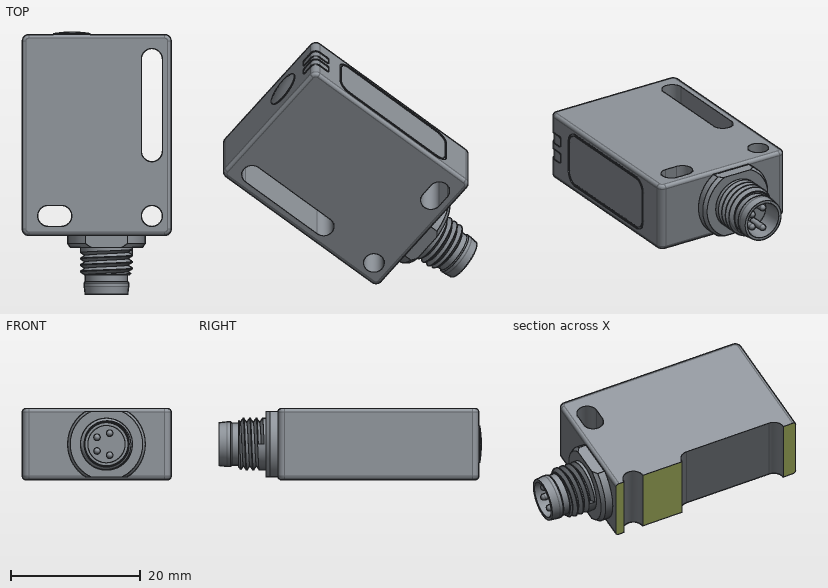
import cadquery as cq

width = 23.0
length = 31.02
height = 11.0
corner_radius = 1.0
edge_radius = 0.55
left = -width / 2

hole_diameter = 3.2
right_holes_x = 8.5
front_holes_y = 3.05
long_slot_length = 17.4
long_slot_y = 20.13
short_slot_length = 5.22
short_slot_x = -6.5

window_length = 21.15
window_height = 8.9
window_y = 15.45
window_corner_radius = 2.02
window_groove_width = 0.32
window_groove_depth = 0.2

indicator_reach = 2.88
indicator_height = 1.75
indicator_spacing = 2.8
indicator_corner_radius = 0.4
indicator_depth = 0.12

adjuster_diameter = 5.65
adjuster_x = -3.85
adjuster_height = 0.4
adjuster_rim_height = 0.15

connector_x = 1.5
collar_diameter = 12.0
collar_length = 1.82
collar_chamfer_length = 0.6
collar_chamfer_depth = 0.4
collar_across_flats = 10.12
thread_diameter = 8.0
thread_root_diameter = 6.72
thread_pitch = 1.0
thread_groove_start = 2.55
thread_groove_width = 0.9
thread_end = 6.08
thread_end_chamfer = 0.5
neck_diameter = 6.55
ring_diameter = 6.93
ring_ramp_start = 7.1
ring_start = 7.3
ring_end = 7.8
tip_diameter = 6.65
connector_length = 9.07
socket_diameter = 5.75
socket_depth = 3.65

pin_diameter = 1.0
pin_length = 3.25
pin_places = [(-1.45, 1.05), (0.5, 1.7)]


def rounded_block(inset):
    """Housing block with rounded upright edges, pulled in by an inset on each side."""
    block = cq.Workplane("XY").box(width - 2 * inset, length - 2 * inset, height)
    return block.translate((0, length / 2, 0)).edges("|Z").fillet(corner_radius)


def slot_cutter(x, y, slot_length, angle):
    slot = cq.Workplane("XY").slot2D(slot_length, hole_diameter, angle)
    return slot.extrude(height, both=True).translate((x, y, 0))


def window_plate(inset):
    plate = cq.Workplane("YZ").rect(window_length - 2 * inset, window_height - 2 * inset)
    plate = plate.extrude(window_groove_depth).edges("|X").fillet(window_corner_radius - inset)
    return plate.translate((left, window_y, 0))


def indicator_cutter(z):
    """Skin-deep pocket that runs along the left face, round the corner and along the back face."""
    tab_size = 2 * indicator_reach
    side_tab = cq.Workplane("YZ").rect(tab_size, indicator_height).extrude(corner_radius)
    side_tab = side_tab.edges("|X").fillet(indicator_corner_radius).translate((left, length, z))
    back_tab = cq.Workplane("XZ").rect(tab_size, indicator_height).extrude(corner_radius)
    back_tab = back_tab.edges("|Y").fillet(indicator_corner_radius).translate((left, length, z))
    return side_tab.union(back_tab).cut(rounded_block(indicator_depth))


def make_housing():
    housing = rounded_block(0).faces("<Z or >Z").edges().fillet(edge_radius)
    housing = housing.cut(slot_cutter(right_holes_x, long_slot_y, long_slot_length, 90))
    housing = housing.cut(slot_cutter(short_slot_x, front_holes_y, short_slot_length, 0))
    round_hole = cq.Workplane("XY").circle(hole_diameter / 2).extrude(height, both=True)
    housing = housing.cut(round_hole.translate((right_holes_x, front_holes_y, 0)))
    housing = housing.cut(window_plate(0).cut(window_plate(window_groove_width)))
    for side in (-1, 1):
        housing = housing.cut(indicator_cutter(side * indicator_spacing / 2))
    return housing


def make_adjuster():
    """Domed disc, rooted below the back face so that it fuses with the housing."""
    root_depth = corner_radius
    radius = adjuster_diameter / 2
    rise = adjuster_height - adjuster_rim_height
    dome_radius = (radius**2 + rise**2) / (2 * rise)
    mid_x = radius / 2
    mid_height = adjuster_height - dome_radius + (dome_radius**2 - mid_x**2) ** 0.5
    profile = (
        cq.Workplane("XY")
        .moveTo(0, -root_depth)
        .lineTo(radius, -root_depth)
        .lineTo(radius, adjuster_rim_height)
        .threePointArc((mid_x, mid_height), (0, adjuster_height))
        .close()
    )
    return profile.revolve(360, (0, 0), (0, 1)).translate((adjuster_x, length, 0))


def make_collar():
    radius = collar_diameter / 2
    collar = cq.Workplane("XY").circle(radius).extrude(collar_length)
    collar = collar.faces(">Z").chamfer(collar_chamfer_length, collar_chamfer_depth)
    flats = cq.Workplane("XY").box(collar_diameter, collar_across_flats, 2 * collar_length)
    return collar.intersect(flats)


def make_thread():
    """Cylinder with a right-handed V groove that runs out at its chamfered end."""
    outer = thread_diameter / 2
    root = thread_root_diameter / 2
    half_groove = thread_groove_width / 2
    blank = cq.Workplane("XY").circle(outer).extrude(thread_end)
    blank = blank.rotate((0, 0, 0), (0, 0, 1), 90)
    groove_travel = thread_end + half_groove - thread_groove_start
    helix = cq.Wire.makeHelix(thread_pitch, groove_travel, root)
    overshoot = 0.05
    widening = half_groove * overshoot / (outer - root)
    groove = (
        cq.Workplane("XZ")
        .moveTo(root, 0)
        .lineTo(outer + overshoot, half_groove + widening)
        .lineTo(outer + overshoot, -half_groove - widening)
        .close()
        .sweep(cq.Workplane(helix), isFrenet=True)
        .translate((0, 0, thread_groove_start))
    )
    envelope = cq.Workplane("XY").circle(outer).extrude(thread_end)
    envelope = envelope.faces(">Z").chamfer(thread_end_chamfer)
    return blank.cut(groove).intersect(envelope)


def make_plug():
    """Neck, snap ring and tapered tip as one turned piece."""
    profile = (
        cq.Workplane("YZ")
        .lineTo(neck_diameter / 2, 0)
        .lineTo(neck_diameter / 2, ring_ramp_start)
        .lineTo(ring_diameter / 2, ring_start)
        .lineTo(ring_diameter / 2, ring_end)
        .lineTo(tip_diameter / 2, connector_length)
        .lineTo(0, connector_length)
        .close()
    )
    return profile.revolve(360, (0, 0), (0, 1))


def make_pin(x, z):
    """Round pin with a domed tip, standing on the socket floor."""
    radius = pin_diameter / 2
    shank_length = pin_length - radius
    pin = cq.Workplane("XY").circle(radius).extrude(shank_length)
    tip = cq.Workplane("XY").sphere(radius).translate((0, 0, shank_length))
    return pin.union(tip).translate((x, z, connector_length - socket_depth))


def make_connector():
    """Connector built up along +Z, then turned to point along -Y."""
    connector = make_thread().union(make_collar()).union(make_plug())
    socket = cq.Workplane("XY").circle(socket_diameter / 2).extrude(socket_depth)
    connector = connector.cut(socket.translate((0, 0, connector_length - socket_depth)))
    for x, z in pin_places:
        connector = connector.union(make_pin(x, z)).union(make_pin(x, -z))
    return connector.rotate((0, 0, 0), (1, 0, 0), 90).translate((connector_x, 0, 0))


result = make_housing().union(make_adjuster()).union(make_connector())